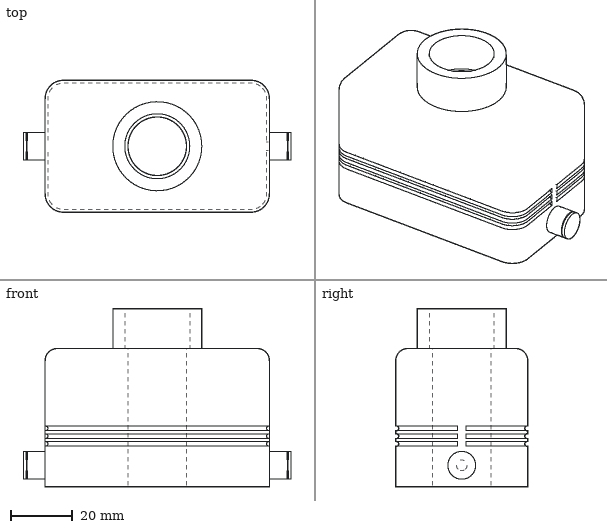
import cadquery as cq

BODY_LENGTH = 73.0
BODY_WIDTH = 43.0
BODY_HEIGHT = 45.1
CORNER_RADIUS = 6.0
TOP_FILLET = 4.0

TOTAL_HEIGHT = 58.0
NECK_DIAMETER = 29.0
ENTRY_DIAMETER = 21.1
PASSAGE_DIAMETER = 19.0
ENTRY_DEPTH = TOTAL_HEIGHT - BODY_HEIGHT

PIN_SPAN = 87.0
PIN_DIAMETER = 9.05
PIN_HEIGHT = 7.05
PIN_CAP_THICKNESS = 1.0
PIN_SLIT_WIDTH = 0.3
PIN_CORE_DIAMETER = 3.5
PIN_EMBEDMENT = 1.7

GROOVE_RADIUS = 0.75
GROOVE_DEPTH = 1.0
GROOVE_PITCH = 2.5
GROOVE_COUNT = 3
MIDDLE_GROOVE_HEIGHT = 16.5
GROOVE_GAP = 2.8
GROOVE_OVERSHOOT = 0.4


def rounded_block(height):
    """Upright block with the rounded-rectangle outline of the body."""
    return (
        cq.Workplane("XY")
        .rect(BODY_LENGTH, BODY_WIDTH)
        .extrude(height)
        .edges("|Z")
        .fillet(CORNER_RADIUS)
    )


def hood_body():
    return rounded_block(BODY_HEIGHT).faces(">Z").edges().fillet(TOP_FILLET)


def neck():
    return cq.Workplane("XY").circle(NECK_DIAMETER / 2).extrude(TOTAL_HEIGHT)


def cable_entry():
    """Stepped bore: wide through the neck, narrower through the body."""
    passage = cq.Workplane("XY").circle(PASSAGE_DIAMETER / 2).extrude(TOTAL_HEIGHT)
    entry = (
        cq.Workplane("XY")
        .workplane(offset=TOTAL_HEIGHT - ENTRY_DEPTH)
        .circle(ENTRY_DIAMETER / 2)
        .extrude(ENTRY_DEPTH)
    )
    return passage.union(entry)


def pin_section(side, start, end, diameter):
    """Cylinder along X between two distances from the middle, on the given side."""
    return (
        cq.Workplane("YZ", origin=(side * start, 0, PIN_HEIGHT))
        .circle(diameter / 2)
        .extrude(side * (end - start))
    )


def locking_pin(side):
    """Pin on the +X (side = 1) or -X (side = -1) end, with a narrow slit behind its end cap."""
    root = BODY_LENGTH / 2 - PIN_EMBEDMENT
    tip = PIN_SPAN / 2
    slit_end = tip - PIN_CAP_THICKNESS
    slit_start = slit_end - PIN_SLIT_WIDTH
    shank = pin_section(side, root, slit_start, PIN_DIAMETER)
    core = pin_section(side, slit_start, slit_end, PIN_CORE_DIAMETER)
    cap = pin_section(side, slit_end, tip, PIN_DIAMETER)
    return shank.union(core).union(cap)


def groove_ring(height):
    """Ring-shaped cutter with a rounded bottom, swept around the body outline."""
    straight = GROOVE_DEPTH - GROOVE_RADIUS
    outline = rounded_block(BODY_HEIGHT).translate((0, 0, height)).faces("<Z").wires()
    profile = (
        cq.Workplane("YZ", origin=(0, -BODY_WIDTH / 2, height))
        .moveTo(-GROOVE_OVERSHOOT, -GROOVE_RADIUS)
        .lineTo(straight, -GROOVE_RADIUS)
        .threePointArc((GROOVE_DEPTH, 0), (straight, GROOVE_RADIUS))
        .lineTo(-GROOVE_OVERSHOOT, GROOVE_RADIUS)
        .close()
    )
    return profile.sweep(outline)


def grip_grooves():
    grooves = cq.Workplane("XY")
    for index in range(GROOVE_COUNT):
        offset = index - (GROOVE_COUNT - 1) / 2
        grooves = grooves.union(groove_ring(MIDDLE_GROOVE_HEIGHT + offset * GROOVE_PITCH))
    bridge = cq.Workplane("XY").box(2 * BODY_LENGTH, GROOVE_GAP, 2 * BODY_HEIGHT)
    return grooves.cut(bridge)


result = (
    hood_body()
    .cut(grip_grooves())
    .union(neck())
    .cut(cable_entry())
    .union(locking_pin(1))
    .union(locking_pin(-1))
)